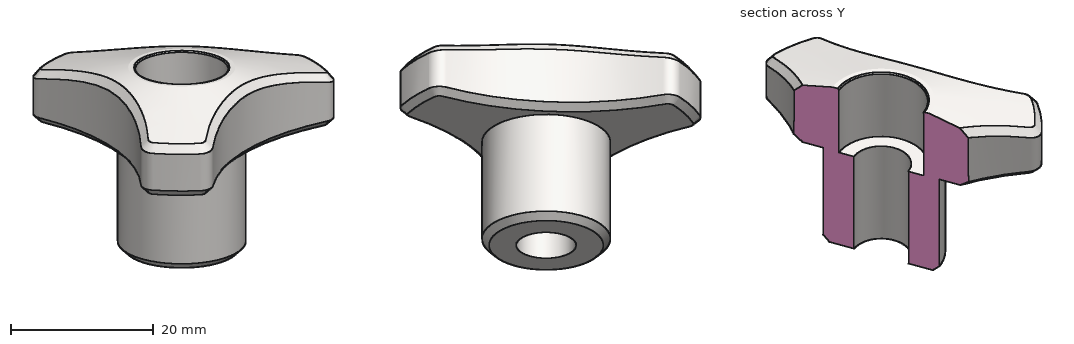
import cadquery as cq
import math

LOBE_COUNT = 3
FIRST_LOBE_ANGLE = 90.0
TIP_RADIUS = 22.5
WAIST_RADIUS = 11.0
RECESS_RADIUS = 34.0
CORNER_RADIUS = 2.0

TOTAL_HEIGHT = 27.0
HEAD_HEIGHT = 11.0
RIM_HEIGHT = 7.5
CROWN_DIAMETER = 15.0
HEAD_CHAMFER = 1.0
CROWN_CLEARANCE = 0.1

STEM_DIAMETER = 18.0
STEM_CHAMFER = 1.0

BORE_DIAMETER = 8.38
COUNTERBORE_DIAMETER = 13.0
COUNTERBORE_DEPTH = HEAD_HEIGHT
MOUTH_CHAMFER = 0.2

HEAD_BOTTOM = TOTAL_HEIGHT - HEAD_HEIGHT
RIM_TOP = HEAD_BOTTOM + RIM_HEIGHT
LOBE_PITCH = 2 * math.pi / LOBE_COUNT
RECESS_CENTRE_RADIUS = WAIST_RADIUS + RECESS_RADIUS
CORNER_CENTRE_RADIUS = TIP_RADIUS - CORNER_RADIUS


def polar(radius, angle):
    """Point at a radius and an angle in radians around the knob axis."""
    return (radius * math.cos(angle), radius * math.sin(angle))


def point_towards(start, end, distance):
    """Point at a distance from start along the line to end."""
    share = distance / math.dist(start, end)
    return (
        start[0] + share * (end[0] - start[0]),
        start[1] + share * (end[1] - start[1]),
    )


def corner_offset_angle():
    """Angle between a lobe's middle and the centre of its tip corner arc.

    The corner arc is tangent to the tip circle from inside and to the recess
    circle from outside, which fixes a triangle of axis, corner and recess centres.
    """
    centre_gap = RECESS_RADIUS + CORNER_RADIUS
    cosine = (RECESS_CENTRE_RADIUS**2 + CORNER_CENTRE_RADIUS**2 - centre_gap**2) / (
        2 * RECESS_CENTRE_RADIUS * CORNER_CENTRE_RADIUS
    )
    return LOBE_PITCH / 2 - math.acos(cosine)


def corner_points(lobe_angle, side):
    """Tip end, middle and recess end of a corner arc; side is -1 or +1 around the axis."""
    corner_angle = lobe_angle + side * corner_offset_angle()
    centre = polar(CORNER_CENTRE_RADIUS, corner_angle)
    recess_centre = polar(RECESS_CENTRE_RADIUS, lobe_angle + side * LOBE_PITCH / 2)
    tip_end = polar(TIP_RADIUS, corner_angle)
    recess_end = point_towards(centre, recess_centre, CORNER_RADIUS)
    chord_middle = ((tip_end[0] + recess_end[0]) / 2, (tip_end[1] + recess_end[1]) / 2)
    middle = point_towards(centre, chord_middle, CORNER_RADIUS)
    return tip_end, middle, recess_end


def make_lobed_prism():
    """Lobed outline of tangent arcs, extruded to the full head height."""
    first_angle = math.radians(FIRST_LOBE_ANGLE)
    outline_start = corner_points(first_angle, -1)[2]
    outline = cq.Workplane("XY", origin=(0, 0, HEAD_BOTTOM)).moveTo(*outline_start)
    for index in range(LOBE_COUNT):
        lobe_angle = first_angle + index * LOBE_PITCH
        right_tip, right_middle, _ = corner_points(lobe_angle, -1)
        left_tip, left_middle, left_recess = corner_points(lobe_angle, 1)
        waist = polar(WAIST_RADIUS, lobe_angle + LOBE_PITCH / 2)
        next_start = corner_points(lobe_angle + LOBE_PITCH, -1)[2]
        outline = (
            outline.threePointArc(right_middle, right_tip)
            .threePointArc(polar(TIP_RADIUS, lobe_angle), left_tip)
            .threePointArc(left_middle, left_recess)
            .threePointArc(waist, next_start)
        )
    return outline.close().extrude(HEAD_HEIGHT)


def make_cone_blank():
    """Disc with a conical top and a flat crown.

    The cone runs from the crown through the rim height at the tip radius and
    continues as far again, so that the disc is wider than the lobes.
    """
    blank_radius = 2 * TIP_RADIUS - CROWN_DIAMETER / 2
    blank_rim_top = 2 * RIM_TOP - TOTAL_HEIGHT
    profile = [
        (0, HEAD_BOTTOM),
        (blank_radius, HEAD_BOTTOM),
        (blank_radius, blank_rim_top),
        (CROWN_DIAMETER / 2, TOTAL_HEIGHT),
        (0, TOTAL_HEIGHT),
    ]
    return cq.Workplane("XZ").polyline(profile).close().revolve(360, (0, 0), (0, 1))


def is_below_crown(edge):
    """True for the outline edges of the cone, false for its crown circle and seam."""
    return edge.BoundingBox().zmax < TOTAL_HEIGHT - CROWN_CLEARANCE


def make_head():
    """Lobed head under a cone, chamfered along its upper and lower outlines."""
    head = make_lobed_prism().intersect(make_cone_blank())
    head = head.faces("%CONE").edges().filter(is_below_crown).chamfer(HEAD_CHAMFER)
    return head.faces("<Z").edges().chamfer(HEAD_CHAMFER)


def make_stem():
    """Round stem with a chamfered lower end, ending at the underside of the head."""
    return (
        cq.Workplane("XY")
        .circle(STEM_DIAMETER / 2)
        .extrude(HEAD_BOTTOM)
        .faces("<Z")
        .edges()
        .chamfer(STEM_CHAMFER)
    )


def cut_bore(knob):
    """Through bore with a deep counterbore from the top and a small mouth chamfer."""
    knob = (
        knob.faces(">Z")
        .workplane(origin=(0, 0, TOTAL_HEIGHT))
        .cboreHole(BORE_DIAMETER, COUNTERBORE_DIAMETER, COUNTERBORE_DEPTH)
    )
    mouth_edge = knob.faces(">Z").edges(cq.selectors.RadiusNthSelector(0))
    return mouth_edge.chamfer(MOUTH_CHAMFER)


result = cut_bore(make_head().union(make_stem()))